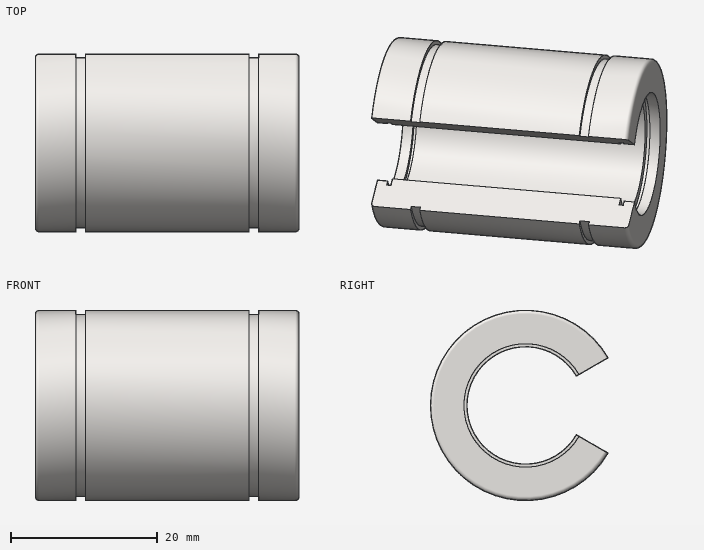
import cadquery as cq
import math

length = 36.0
outer_radius = 13.0
bore_radius = 8.0
edge_fillet = 0.5

groove_radius = 12.45
groove_width = 1.3
groove_end_distance = 5.55

recess_radius = 8.42
recess_depth = 2.0

undercut_radius = 9.1
lip_width = 1.45
undercut_width = recess_depth - lip_width

opening_angle = 60.0


def cylinder(radius, start, depth):
    """Solid cylinder on the X axis, extending from start toward +X."""
    return cq.Workplane("YZ", origin=(start, 0, 0)).circle(radius).extrude(depth)


def ring_groove(start):
    """Ring of material to remove for one outside groove."""
    return cylinder(2 * outer_radius, start, groove_width).cut(
        cylinder(groove_radius, start, groove_width)
    )


def opening_wedge():
    """Wedge along the full length, with its apex on the sleeve axis."""
    reach = 2 * outer_radius
    half_width = reach * math.tan(math.radians(opening_angle / 2))
    return (
        cq.Workplane("YZ", origin=(-length / 2, 0, 0))
        .polyline([(0, 0), (reach, -half_width), (reach, half_width)])
        .close()
        .extrude(length)
    )


left_end = -length / 2
body = cylinder(outer_radius, left_end, length).edges("%CIRCLE").fillet(edge_fillet)
body = body.cut(cylinder(bore_radius, left_end, length))

right_end = length / 2
for groove_start in (
    left_end + groove_end_distance,
    right_end - groove_end_distance - groove_width,
):
    body = body.cut(ring_groove(groove_start))
for recess_start in (left_end, right_end - recess_depth):
    body = body.cut(cylinder(recess_radius, recess_start, recess_depth))
for undercut_start in (left_end + lip_width, right_end - recess_depth):
    body = body.cut(cylinder(undercut_radius, undercut_start, undercut_width))

result = body.cut(opening_wedge())